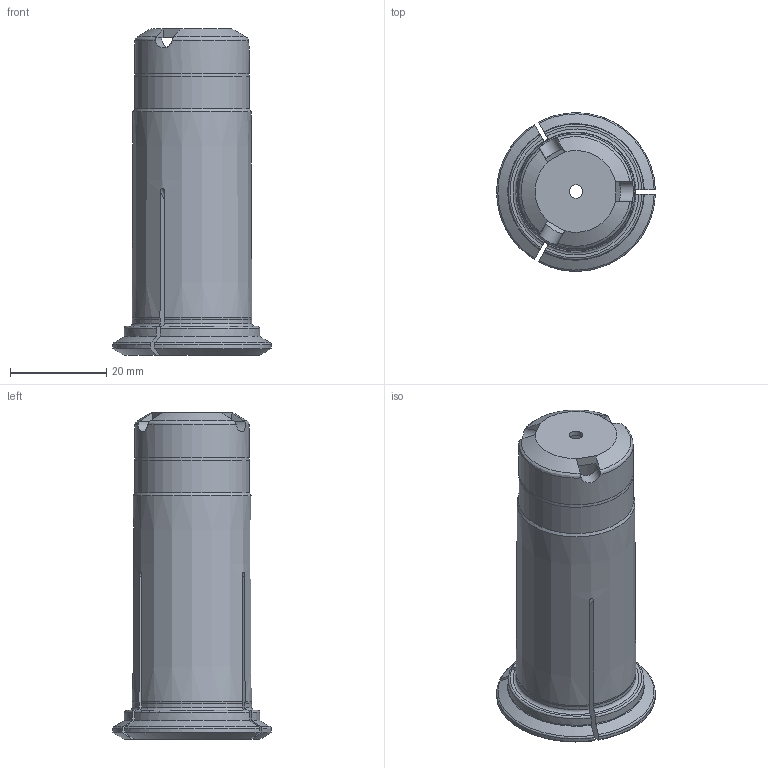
import cadquery as cq
import math


CONE_SLOPE = math.tan(math.radians(30))

TOTAL_HEIGHT = 67.9
COLLAR_TOP_Z = 6.0
BODY_BOTTOM_Z = 7.8
BODY_TOP_Z = 50.65
GUIDE_BAND_TOP_Z = 57.95
STEP_CHAMFER_HEIGHT = 0.6
LIP_HEIGHT = 0.4

FLANGE_RADIUS = 33.0 / 2
COLLAR_RADIUS = 28.2 / 2
NECK_RADIUS = 24.8 / 2
BODY_BOTTOM_RADIUS = 24.92 / 2
BODY_TOP_RADIUS = 24.54 / 2
GUIDE_BAND_RADIUS = 23.9 / 2
HEAD_RADIUS = 23.8 / 2
TOP_FACE_RADIUS = 17.0 / 2

FLANGE_LAND_HEIGHT = 1.08
FLANGE_CONE_HEIGHT = (FLANGE_RADIUS - COLLAR_RADIUS) * CONE_SLOPE
RIM_BOTTOM_Z = FLANGE_CONE_HEIGHT
RIM_TOP_Z = RIM_BOTTOM_Z + FLANGE_LAND_HEIGHT
COLLAR_BOTTOM_Z = RIM_TOP_Z + FLANGE_CONE_HEIGHT

HEAD_EDGE_Z = TOTAL_HEIGHT - (HEAD_RADIUS - TOP_FACE_RADIUS) * CONE_SLOPE

HEAD_FILLET = 1.0
NECK_FILLET = 0.7
COLLAR_FILLET = 0.4
COLLAR_ROOT_FILLET = 0.2
RIM_TOP_FILLET = 0.5
RIM_BOTTOM_FILLET = 0.2

CAP_THICKNESS = 1.9
CHAMBER_RADIUS = 18.5 / 2
CHAMBER_FLOOR_Z = 46.0
LOWER_BORE_RADIUS = 9.0 / 2
TOP_HOLE_RADIUS = 2.8 / 2
TOP_HOLE_LENGTH = 1.0
CAP_RECESS_RADIUS = 6.35 / 2
TOP_HOLE_BOTTOM_Z = TOTAL_HEIGHT - TOP_HOLE_LENGTH
CHAMBER_TOP_Z = TOTAL_HEIGHT - CAP_THICKNESS
CHAMBER_WALL_BOTTOM_Z = CHAMBER_FLOOR_Z + (CHAMBER_RADIUS - LOWER_BORE_RADIUS) * CONE_SLOPE

CUT_ANGLES = (0, 120, 240)
SLOT_WIDTH = 1.0
SLOT_END_RADIUS = SLOT_WIDTH / 2
SLOT_TOP_Z = 34.85
NOTCH_WIDTH = 4.2
NOTCH_INNER_DISTANCE = 8.3
NOTCH_CENTER_Z = CHAMBER_TOP_Z
CLEARANCE = 1.0


def make_revolved(outline):
    """Turn a closed (radius, z) outline about the Z axis."""
    return cq.Workplane("XZ").polyline(outline).close().revolve(360, (0, 0), (0, 1))


def fillet_ring(body, radius, z, fillet_radius):
    """Round the circular edge that has the given radius and height."""
    tolerance = 1e-4

    def is_ring(edge):
        return (
            edge.geomType() == "CIRCLE"
            and abs(edge.radius() - radius) < tolerance
            and abs(edge.Center().z - z) < tolerance
        )

    return body.edges().filter(is_ring).fillet(fillet_radius)


def make_outer_body():
    outline = [
        (0, 0),
        (COLLAR_RADIUS, 0),
        (FLANGE_RADIUS, RIM_BOTTOM_Z),
        (FLANGE_RADIUS, RIM_TOP_Z),
        (COLLAR_RADIUS, COLLAR_BOTTOM_Z),
        (COLLAR_RADIUS, COLLAR_TOP_Z),
        (NECK_RADIUS, COLLAR_TOP_Z),
        (NECK_RADIUS, BODY_BOTTOM_Z - LIP_HEIGHT),
        (BODY_BOTTOM_RADIUS, BODY_BOTTOM_Z),
        (BODY_TOP_RADIUS, BODY_TOP_Z),
        (GUIDE_BAND_RADIUS, BODY_TOP_Z + STEP_CHAMFER_HEIGHT),
        (GUIDE_BAND_RADIUS, GUIDE_BAND_TOP_Z),
        (HEAD_RADIUS, GUIDE_BAND_TOP_Z + STEP_CHAMFER_HEIGHT),
        (HEAD_RADIUS, HEAD_EDGE_Z),
        (TOP_FACE_RADIUS, TOTAL_HEIGHT),
        (0, TOTAL_HEIGHT),
    ]
    body = make_revolved(outline)
    body = fillet_ring(body, HEAD_RADIUS, HEAD_EDGE_Z, HEAD_FILLET)
    body = fillet_ring(body, NECK_RADIUS, COLLAR_TOP_Z, NECK_FILLET)
    body = fillet_ring(body, COLLAR_RADIUS, COLLAR_TOP_Z, COLLAR_FILLET)
    body = fillet_ring(body, COLLAR_RADIUS, COLLAR_BOTTOM_Z, COLLAR_ROOT_FILLET)
    body = fillet_ring(body, FLANGE_RADIUS, RIM_TOP_Z, RIM_TOP_FILLET)
    body = fillet_ring(body, FLANGE_RADIUS, RIM_BOTTOM_Z, RIM_BOTTOM_FILLET)
    return body


def make_interior():
    """Lower bore, head chamber with a conical floor, cap recess and the small top hole."""
    outline = [
        (0, -CLEARANCE),
        (LOWER_BORE_RADIUS, -CLEARANCE),
        (LOWER_BORE_RADIUS, CHAMBER_FLOOR_Z),
        (CHAMBER_RADIUS, CHAMBER_WALL_BOTTOM_Z),
        (CHAMBER_RADIUS, CHAMBER_TOP_Z),
        (CAP_RECESS_RADIUS, CHAMBER_TOP_Z),
        (CAP_RECESS_RADIUS, TOP_HOLE_BOTTOM_Z),
        (TOP_HOLE_RADIUS, TOP_HOLE_BOTTOM_Z),
        (TOP_HOLE_RADIUS, TOTAL_HEIGHT + CLEARANCE),
        (0, TOTAL_HEIGHT + CLEARANCE),
    ]
    return make_revolved(outline)


def make_slot_cutter():
    """Radial slot along +X, open at the underside; its half-round end falls inward at 45 degrees."""
    end_axis_z_at_center = SLOT_TOP_Z - SLOT_END_RADIUS * math.sqrt(2) - BODY_BOTTOM_RADIUS
    reach = FLANGE_RADIUS + CLEARANCE
    walls = (
        cq.Workplane("XZ")
        .polyline(
            [
                (0, -CLEARANCE),
                (reach, -CLEARANCE),
                (reach, end_axis_z_at_center + reach),
                (0, end_axis_z_at_center),
            ]
        )
        .close()
        .extrude(SLOT_WIDTH / 2, both=True)
    )
    rounded_end = cq.Workplane(
        cq.Solid.makeCylinder(
            SLOT_END_RADIUS,
            reach * math.sqrt(2),
            cq.Vector(0, 0, end_axis_z_at_center),
            cq.Vector(1, 0, 1),
        )
    )
    return walls.union(rounded_end)


def make_notch_cutter():
    """Radial notch along +X, open at the top with a half-round floor."""
    half_width = NOTCH_WIDTH / 2
    return (
        cq.Workplane("YZ", origin=(NOTCH_INNER_DISTANCE, 0, 0))
        .moveTo(-half_width, TOTAL_HEIGHT + CLEARANCE)
        .lineTo(-half_width, NOTCH_CENTER_Z)
        .threePointArc((0, NOTCH_CENTER_Z - half_width), (half_width, NOTCH_CENTER_Z))
        .lineTo(half_width, TOTAL_HEIGHT + CLEARANCE)
        .close()
        .extrude(HEAD_RADIUS - NOTCH_INNER_DISTANCE + CLEARANCE)
    )


def cut_around(body, cutter):
    """Cut the same shape at every cut angle about the Z axis."""
    for angle in CUT_ANGLES:
        body = body.cut(cutter.rotate((0, 0, 0), (0, 0, 1), angle))
    return body


sleeve = make_outer_body().cut(make_interior())
sleeve = cut_around(sleeve, make_slot_cutter())
sleeve = cut_around(sleeve, make_notch_cutter())

result = sleeve